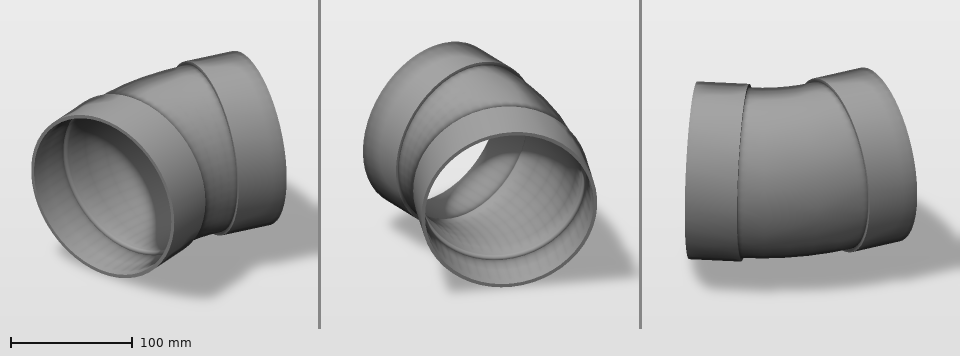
import cadquery as cq
import math

pipe_diameter = 140.0
wall = 3.0
bend_angle = 30.0
bend_radius = 140.0
socket_length = 43.0

pipe_radius = pipe_diameter / 2
bend_bore_radius = pipe_radius - wall
socket_outer_radius = pipe_radius + wall
shoulder_radius = wall
bore_depth = socket_length - shoulder_radius


def inlet_socket():
    """Socket along +Y, mouth at Y = 0, with a convex quarter-round shoulder inside."""
    arc_offset = shoulder_radius * math.cos(math.radians(45))
    shoulder_middle = (pipe_radius - arc_offset, socket_length - arc_offset)
    profile = (
        cq.Workplane("XY")
        .moveTo(pipe_radius, 0)
        .lineTo(socket_outer_radius, 0)
        .lineTo(socket_outer_radius, socket_length)
        .lineTo(bend_bore_radius, socket_length)
        .threePointArc(shoulder_middle, (pipe_radius, bore_depth))
        .close()
    )
    return profile.revolve(360, (0, 0, 0), (0, 1, 0))


def bend():
    """Hollow torus segment from the inlet socket, turning from +Y towards +X."""
    ring = (
        cq.Workplane("XZ", origin=(0, socket_length, 0))
        .circle(pipe_radius)
        .circle(bend_bore_radius)
    )
    return ring.revolve(bend_angle, (bend_radius, 0, 0), (bend_radius, -1, 0))


def outlet_socket():
    """Mirror image of the inlet socket across the middle plane of the bend."""
    half_angle = math.radians(bend_angle / 2)
    middle_normal = cq.Vector(math.sin(half_angle), math.cos(half_angle), 0)
    return inlet_socket().mirror(middle_normal, (bend_radius, socket_length, 0))


result = inlet_socket().union(bend()).union(outlet_socket())